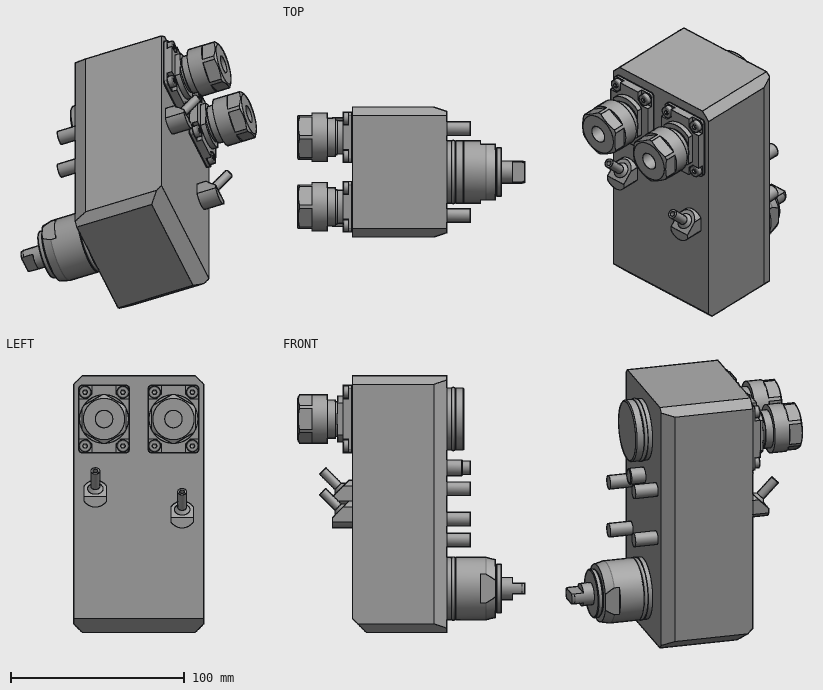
import cadquery as cq
import math


BODY_DEPTH = 54.4
BODY_WIDTH = 75.0
BODY_HEIGHT = 148.0
EDGE_CHAMFER = 5.0
REAR_BOTTOM_CHAMFER = 8.0
FRONT_TAPER_LENGTH = 7.5
FRONT_TAPER_INSET = 2.5
OVERLAP = 1.0

CONNECTOR_Z = 123.0
GLAND_Y = 20.0
FLANGE_WIDTH = 29.2
FLANGE_HEIGHT = 39.0
FLANGE_CORNER_RADIUS = 2.0
FLANGE_FRONT = 5.4
GASKET_THICKNESS = 0.5
GASKET_INSET = 0.2
POCKET_FLOOR = 2.3
POCKET_WIDTH = 7.6
POCKET_HEIGHT = 8.1
POCKET_CHAMFER = 3.0
SCREW_SPACING_Y = 21.8
SCREW_SPACING_Z = 31.0
SCREW_HEAD_RADIUS = 3.4
SCREW_HEAD_FILLET = 0.4
SOCKET_ACROSS_FLATS = 2.5
SOCKET_DEPTH = 1.5
SOCKET_CONE_DEPTH = 0.7
COLLAR_RADIUS = 13.35
COLLAR_FRONT = 8.5
COLLAR_HALF_WIDTH = 9.6
COLLAR_FLAT_FRONT = 9.0
GROOVE_RADIUS = 10.1
GROOVE_FRONT = 9.9
NECK_RADIUS = 11.1
NECK_FRONT = 14.5
NUT_RADIUS = 14.05
NUT_HEX_START = 23.4
NUT_FRONT = 31.6
NUT_ACROSS_FLATS = 25.3
HEX_TURN = 30.0
NUT_FACE_RADIUS = 11.9
NUT_FACE_CHAMFER = 1.1
CABLE_HOLE_DIAMETER = 10.1

ELBOW_Y = 25.0
ELBOW_RIGHT_Z = 68.0
ELBOW_LEFT_Z = 80.0
ELBOW_RADIUS = 7.75
ELBOW_HALF_WIDTH = 6.43
ELBOW_LENGTH = 11.5
ELBOW_TOP_LENGTH = 2.0
HOSE_AXIS_X = -6.9
HOSE_TILT = 45.0
HOSE_STUB_LENGTH = 14.5
HOSE_STUB_RADIUS = 2.6
HOSE_CONE_RADIUS = 4.5
HOSE_BORE_RADIUS = 1.4

PLUG_RADIUS = 17.9
PLUG_END = 64.4
PLUG_CHAMFER = 0.7
SEAL_GROOVE_START = 57.0
SEAL_GROOVE_END = 59.6
SEAL_GROOVE_RADIUS = 16.4
SEAL_CORD_RADIUS = 1.1
SEAL_OUTER_RADIUS = 18.35

PIN_RADIUS = 4.0
PIN_END = 67.9
PIN_Y = 25.0
RIGHT_PIN_HEIGHTS = (53.3, 82.8)
LEFT_PIN_HEIGHTS = (65.3, 94.9)
CENTRE_PIN_Z = 94.9
CENTRE_PIN_RADIUS = 4.6
CENTRE_PIN_END = 63.4
CENTRE_PIN_CHAMFER = 0.5

SPINDLE_Z = 25.3
SPINDLE_RADIUS = 18.1
CONE_START = 76.9
CONE_END = 82.3
CONE_END_RADIUS = 16.8
SPINDLE_FLAT_START = 73.8
SPINDLE_HALF_FLATS = 16.1
UNDERCUT_RADIUS = 12.8
DISC_START = 82.9
DISC_END = 86.0
DISC_RADIUS = 14.1
DISC_CHAMFER = 0.5
SHAFT_RADIUS = 6.5
TANG_START = 92.3
TANG_END = 99.36
TANG_HALF_THICKNESS = 3.1
TANG_CHAMFER_LENGTH = 1.6
TANG_CHAMFER_DEPTH = 0.5


def box_between(x0, x1, y0, y1, z0, z1):
    """Box given by its limits along each axis."""
    return cq.Workplane("XY").box(x1 - x0, y1 - y0, z1 - z0, centered=False).translate((x0, y0, z0))


def cylinder_x(x0, x1, radius, y=0.0, z=0.0):
    """Cylinder running along X from x0 to x1."""
    return cq.Workplane("YZ", origin=(x0, y, z)).circle(radius).extrude(x1 - x0)


def turned(profile):
    """Body turned about the X axis from (x, radius) points."""
    return cq.Workplane("XY").polyline(profile).close().revolve(360, (0, 0, 0), (1, 0, 0))


def across_corners(across_flats):
    """Corner-to-corner size of a regular hexagon."""
    return across_flats / math.cos(math.pi / 6)


def side_cutters(x0, x1, half_gap, reach):
    """Two cutters that leave flats at y = +/- half_gap."""
    positive = box_between(x0, x1, half_gap, reach, -reach, reach)
    return positive.union(positive.mirror("XZ"))


def make_housing():
    half = BODY_WIDTH / 2
    housing = box_between(0, BODY_DEPTH, -half, half, 0, BODY_HEIGHT)
    housing = housing.edges("|X").chamfer(EDGE_CHAMFER)
    rear_bottom = (
        cq.Workplane("XZ")
        .polyline([(0, 0), (REAR_BOTTOM_CHAMFER, 0), (0, REAR_BOTTOM_CHAMFER)])
        .close()
        .extrude(half, both=True)
    )
    front_taper = (
        cq.Workplane("XY")
        .polyline([
            (BODY_DEPTH - FRONT_TAPER_LENGTH, half),
            (BODY_DEPTH, half),
            (BODY_DEPTH, half - FRONT_TAPER_INSET),
        ])
        .close()
        .extrude(BODY_HEIGHT)
    )
    return housing.cut(rear_bottom).cut(front_taper).cut(front_taper.mirror("XZ"))


def make_flange():
    """Rectangular gland flange with recessed corners and four screws."""
    gasket = (
        cq.Workplane("YZ")
        .rect(FLANGE_WIDTH - 2 * GASKET_INSET, FLANGE_HEIGHT - 2 * GASKET_INSET)
        .extrude(-GASKET_THICKNESS - OVERLAP)
        .translate((OVERLAP, 0, 0))
        .edges("|X")
        .fillet(FLANGE_CORNER_RADIUS)
    )
    plate = (
        cq.Workplane("YZ", origin=(-GASKET_THICKNESS, 0, 0))
        .rect(FLANGE_WIDTH, FLANGE_HEIGHT)
        .extrude(GASKET_THICKNESS - FLANGE_FRONT)
        .edges("|X")
        .fillet(FLANGE_CORNER_RADIUS)
    )
    flange = gasket.union(plate)

    for side_y in (-1, 1):
        for side_z in (-1, 1):
            outer_y = FLANGE_WIDTH / 2
            outer_z = FLANGE_HEIGHT / 2
            inner_y = outer_y - POCKET_WIDTH
            inner_z = outer_z - POCKET_HEIGHT
            corners = [
                (outer_y, outer_z),
                (inner_y, outer_z),
                (inner_y, inner_z + POCKET_CHAMFER),
                (inner_y + POCKET_CHAMFER, inner_z),
                (outer_y, inner_z),
            ]
            pocket = (
                cq.Workplane("YZ", origin=(-POCKET_FLOOR, 0, 0))
                .polyline([(side_y * y, side_z * z) for y, z in corners])
                .close()
                .extrude(POCKET_FLOOR - FLANGE_FRONT)
            )
            screw_y = side_y * SCREW_SPACING_Y / 2
            screw_z = side_z * SCREW_SPACING_Z / 2
            flange = flange.cut(pocket).union(make_screw_head().translate((0, screw_y, screw_z)))
    return flange


def make_screw_head():
    """Socket head with a conical socket bottom, standing on the pocket floor, flush with the flange."""
    head = cylinder_x(-FLANGE_FRONT, -POCKET_FLOOR + OVERLAP, SCREW_HEAD_RADIUS)
    head = head.faces("<X").edges().fillet(SCREW_HEAD_FILLET)
    socket = (
        cq.Workplane("YZ", origin=(-FLANGE_FRONT, 0, 0))
        .polygon(6, across_corners(SOCKET_ACROSS_FLATS))
        .extrude(SOCKET_DEPTH)
    )
    cone_start = SOCKET_DEPTH - FLANGE_FRONT
    socket_bottom = turned([
        (cone_start, 0),
        (cone_start, SOCKET_ACROSS_FLATS / 2),
        (cone_start + SOCKET_CONE_DEPTH, 0),
    ])
    return head.cut(socket).cut(socket_bottom)


def make_gland():
    """Complete cable gland, centred on the X axis."""
    stem = turned([
        (0, 0),
        (0, COLLAR_RADIUS),
        (-COLLAR_FRONT, COLLAR_RADIUS),
        (-COLLAR_FRONT, GROOVE_RADIUS),
        (-GROOVE_FRONT, GROOVE_RADIUS),
        (-GROOVE_FRONT, NECK_RADIUS),
        (-NECK_FRONT, NECK_RADIUS),
        (-NECK_FRONT, 0),
    ])
    stem = stem.cut(side_cutters(-COLLAR_FLAT_FRONT, 0, COLLAR_HALF_WIDTH, NUT_RADIUS))

    nut = turned([
        (-NECK_FRONT + OVERLAP, 0),
        (-NECK_FRONT + OVERLAP, NECK_RADIUS),
        (-NECK_FRONT, NECK_RADIUS),
        (-NECK_FRONT, NUT_RADIUS),
        (-NUT_FRONT + NUT_FACE_CHAMFER, NUT_RADIUS),
        (-NUT_FRONT, NUT_FACE_RADIUS),
        (-NUT_FRONT, 0),
    ])
    hex_length = NUT_FRONT - NUT_HEX_START
    hexagon = (
        cq.Workplane("YZ", origin=(-NUT_HEX_START, 0, 0))
        .transformed(rotate=(0, 0, HEX_TURN))
        .polygon(6, across_corners(NUT_ACROSS_FLATS))
        .extrude(-hex_length)
    )
    hex_trim = cylinder_x(-NUT_FRONT, -NUT_HEX_START, NUT_RADIUS + OVERLAP).cut(hexagon)
    cable_hole = cylinder_x(-NUT_FRONT, 0, CABLE_HOLE_DIAMETER / 2)
    return make_flange().union(stem).union(nut.cut(hex_trim)).cut(cable_hole)


def make_elbow():
    """Block with a 45 degree face carrying a hose stub, centred on the X axis."""
    block = cylinder_x(-ELBOW_LENGTH, OVERLAP, ELBOW_RADIUS)
    block = block.cut(side_cutters(-ELBOW_LENGTH, OVERLAP, ELBOW_HALF_WIDTH, ELBOW_RADIUS))
    slope_drop = ELBOW_LENGTH - ELBOW_TOP_LENGTH
    slope = (
        cq.Workplane("XZ")
        .polyline([
            (-ELBOW_TOP_LENGTH, ELBOW_RADIUS),
            (-ELBOW_LENGTH, ELBOW_RADIUS - slope_drop),
            (-ELBOW_LENGTH, ELBOW_RADIUS),
        ])
        .close()
        .extrude(ELBOW_RADIUS, both=True)
    )
    block = block.cut(slope)

    cone_height = HOSE_CONE_RADIUS - HOSE_STUB_RADIUS
    stub = turned([
        (OVERLAP, 0),
        (OVERLAP, HOSE_STUB_RADIUS),
        (0, HOSE_CONE_RADIUS),
        (-cone_height, HOSE_STUB_RADIUS),
        (-HOSE_STUB_LENGTH, HOSE_STUB_RADIUS),
        (-HOSE_STUB_LENGTH, 0),
    ])
    stub = stub.cut(cylinder_x(-HOSE_STUB_LENGTH, 0, HOSE_BORE_RADIUS))
    stub_z = ELBOW_RADIUS + HOSE_AXIS_X + ELBOW_TOP_LENGTH
    stub = stub.rotate((0, 0, 0), (0, 1, 0), HOSE_TILT).translate((HOSE_AXIS_X, 0, stub_z))
    return block.union(stub)


def make_seal():
    """O-ring around the X axis, seated in the seal groove."""
    cord_x = SEAL_GROOVE_START + SEAL_CORD_RADIUS
    cord_circle_radius = SEAL_OUTER_RADIUS - SEAL_CORD_RADIUS
    cord = cq.Workplane("XY").center(cord_x, cord_circle_radius).circle(SEAL_CORD_RADIUS)
    return cord.revolve(360, (0, -cord_circle_radius, 0), (1, -cord_circle_radius, 0))


def grooved_start(radius):
    """Profile points from the housing to just past the seal groove."""
    root = BODY_DEPTH - OVERLAP
    return [
        (root, 0),
        (root, radius),
        (SEAL_GROOVE_START, radius),
        (SEAL_GROOVE_START, SEAL_GROOVE_RADIUS),
        (SEAL_GROOVE_END, SEAL_GROOVE_RADIUS),
        (SEAL_GROOVE_END, radius),
    ]


def make_plug():
    """Upper round plug with its seal, centred on the X axis."""
    profile = grooved_start(PLUG_RADIUS) + [
        (PLUG_END - PLUG_CHAMFER, PLUG_RADIUS),
        (PLUG_END, PLUG_RADIUS - PLUG_CHAMFER),
        (PLUG_END, 0),
    ]
    return turned(profile).union(make_seal())


def make_spindle():
    """Lower spindle nose with flats, disc, shaft and drive tang, centred on the X axis."""
    nose = turned(grooved_start(SPINDLE_RADIUS) + [
        (CONE_START, SPINDLE_RADIUS),
        (CONE_END, CONE_END_RADIUS),
        (CONE_END, 0),
    ])
    nose = nose.cut(side_cutters(SPINDLE_FLAT_START, CONE_END, SPINDLE_HALF_FLATS, SPINDLE_RADIUS))

    shaft = turned([
        (CONE_END - OVERLAP, 0),
        (CONE_END - OVERLAP, UNDERCUT_RADIUS),
        (DISC_START, UNDERCUT_RADIUS),
        (DISC_START, DISC_RADIUS - DISC_CHAMFER),
        (DISC_START + DISC_CHAMFER, DISC_RADIUS),
        (DISC_END - DISC_CHAMFER, DISC_RADIUS),
        (DISC_END, DISC_RADIUS - DISC_CHAMFER),
        (DISC_END, SHAFT_RADIUS),
        (TANG_END - TANG_CHAMFER_LENGTH, SHAFT_RADIUS),
        (TANG_END, SHAFT_RADIUS - TANG_CHAMFER_DEPTH),
        (TANG_END, 0),
    ])
    tang_trim = side_cutters(TANG_START, TANG_END, TANG_HALF_THICKNESS, SHAFT_RADIUS)
    shaft = shaft.cut(tang_trim.rotate((0, 0, 0), (1, 0, 0), 90))
    return nose.union(make_seal()).union(shaft)


def make_pins():
    """Coolant pins in two columns and one thicker pin in the middle."""
    root = BODY_DEPTH - OVERLAP
    pins = cylinder_x(root, CENTRE_PIN_END, CENTRE_PIN_RADIUS, 0, CENTRE_PIN_Z)
    pins = pins.faces(">X").chamfer(CENTRE_PIN_CHAMFER)
    for y, heights in ((-PIN_Y, RIGHT_PIN_HEIGHTS), (PIN_Y, LEFT_PIN_HEIGHTS)):
        for z in heights:
            pins = pins.union(cylinder_x(root, PIN_END, PIN_RADIUS, y, z))
    return pins


result = make_housing()
gland = make_gland()
for gland_y in (-GLAND_Y, GLAND_Y):
    result = result.union(gland.translate((0, gland_y, CONNECTOR_Z)))
elbow = make_elbow()
for elbow_y, elbow_z in ((-ELBOW_Y, ELBOW_RIGHT_Z), (ELBOW_Y, ELBOW_LEFT_Z)):
    result = result.union(elbow.translate((0, elbow_y, elbow_z)))
result = result.union(make_plug().translate((0, 0, CONNECTOR_Z)))
result = result.union(make_spindle().translate((0, 0, SPINDLE_Z)))
result = result.union(make_pins())